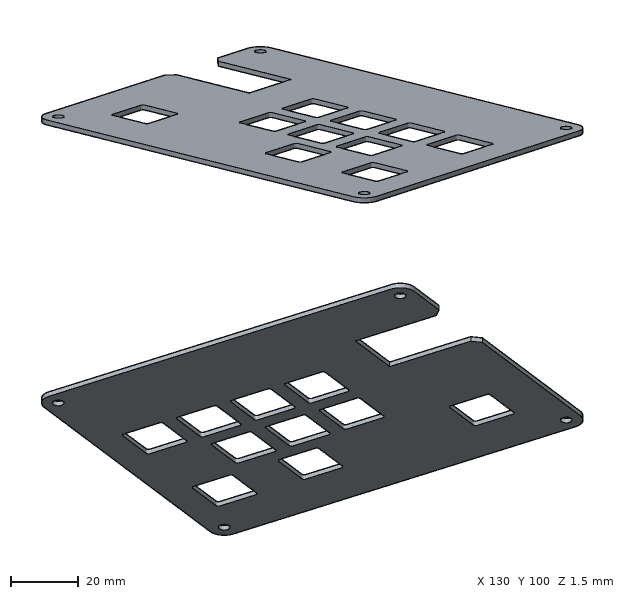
import cadquery as cq

length = 130.0
width = 100.0
thickness = 1.5
corner_radius = 5.0

hole_diameter = 3.4

notch_depth = 31.0
notch_width = 18.6
notch_center_y = 19.9
notch_mouth_chamfer = 2.5

key_size = 14.2
key_corner_radius = 0.8
key_pitch = 19.0
last_column_x = 47.8
top_row_y = 11.6
bottom_row_left_x = -42.5
bottom_row_middle_x = 17.7


def make_plate():
    plate = cq.Workplane("XY").box(length, width, thickness)
    return plate.edges("|Z").fillet(corner_radius)


def make_mounting_holes():
    spacing_x = length - 2 * corner_radius
    spacing_y = width - 2 * corner_radius
    return (
        cq.Workplane("XY")
        .rect(spacing_x, spacing_y, forConstruction=True)
        .vertices()
        .circle(hole_diameter / 2)
        .extrude(thickness, both=True)
    )


def make_notch():
    """Rectangular notch whose mouth widens with an equal-leg chamfer on each side."""
    left = -length / 2
    half_width = notch_width / 2
    half_mouth = half_width + notch_mouth_chamfer
    return (
        cq.Workplane("XY")
        .center(left, notch_center_y)
        .moveTo(0, half_mouth)
        .lineTo(notch_mouth_chamfer, half_width)
        .lineTo(notch_depth, half_width)
        .lineTo(notch_depth, -half_width)
        .lineTo(notch_mouth_chamfer, -half_width)
        .lineTo(0, -half_mouth)
        .close()
        .extrude(thickness, both=True)
    )


def key_centers():
    columns = [last_column_x - i * key_pitch for i in range(4)]
    rows = [top_row_y - i * key_pitch for i in range(3)]
    top_row = [(x, rows[0]) for x in columns]
    middle_row = [(x, rows[1]) for x in columns[1:]]
    bottom_columns = (bottom_row_left_x, bottom_row_middle_x, last_column_x)
    bottom_row = [(x, rows[2]) for x in bottom_columns]
    return top_row + middle_row + bottom_row


def make_key_cutouts():
    return (
        cq.Workplane("XY")
        .pushPoints(key_centers())
        .rect(key_size, key_size)
        .extrude(thickness, both=True)
        .edges("|Z")
        .fillet(key_corner_radius)
    )


result = make_plate().cut(make_mounting_holes()).cut(make_notch()).cut(make_key_cutouts())